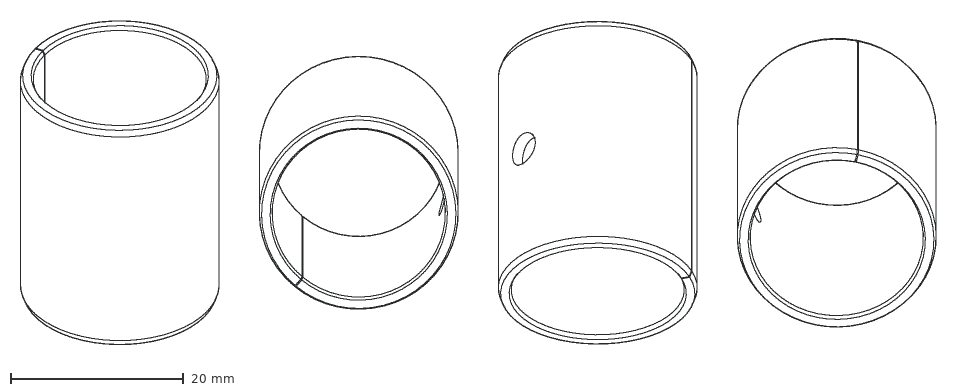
import cadquery as cq
import math

length = 30.0
outer_diameter = 23.0
wall = 1.5
outer_radius = outer_diameter / 2
bore_radius = outer_radius - wall

outer_chamfer_length = 0.75
outer_chamfer_depth = 0.27
bore_chamfer_length = 0.5
bore_chamfer_depth = 0.25

seam_width = 0.15
oil_hole_diameter = 4.0
oil_hole_angle = 60.0


def make_sleeve():
    """Revolve the wall section, with both ends chamfered inside and out."""
    half = length / 2
    end_outer_radius = outer_radius - outer_chamfer_depth
    end_bore_radius = bore_radius + bore_chamfer_depth
    outer_edge = half - outer_chamfer_length
    bore_edge = half - bore_chamfer_length
    section = [
        (bore_radius, -bore_edge),
        (end_bore_radius, -half),
        (end_outer_radius, -half),
        (outer_radius, -outer_edge),
        (outer_radius, outer_edge),
        (end_outer_radius, half),
        (end_bore_radius, half),
        (bore_radius, bore_edge),
    ]
    return cq.Workplane("XZ").polyline(section).close().revolve(360, (0, 0), (0, 1))


def make_seam():
    """Full-length slit through the wall at -X, with one face on the XZ plane."""
    slit = cq.Workplane("XY").box(outer_radius, seam_width, length, centered=(False, False, True))
    return slit.translate((-outer_radius, 0, 0))


def make_oil_hole():
    """Radial cylinder from the axis out through one side of the wall."""
    angle = math.radians(oil_hole_angle)
    direction = cq.Vector(math.cos(angle), math.sin(angle), 0)
    hole = cq.Solid.makeCylinder(
        oil_hole_diameter / 2, outer_diameter, cq.Vector(0, 0, 0), direction
    )
    return cq.Workplane(hole)


result = make_sleeve().cut(make_seam()).cut(make_oil_hole())